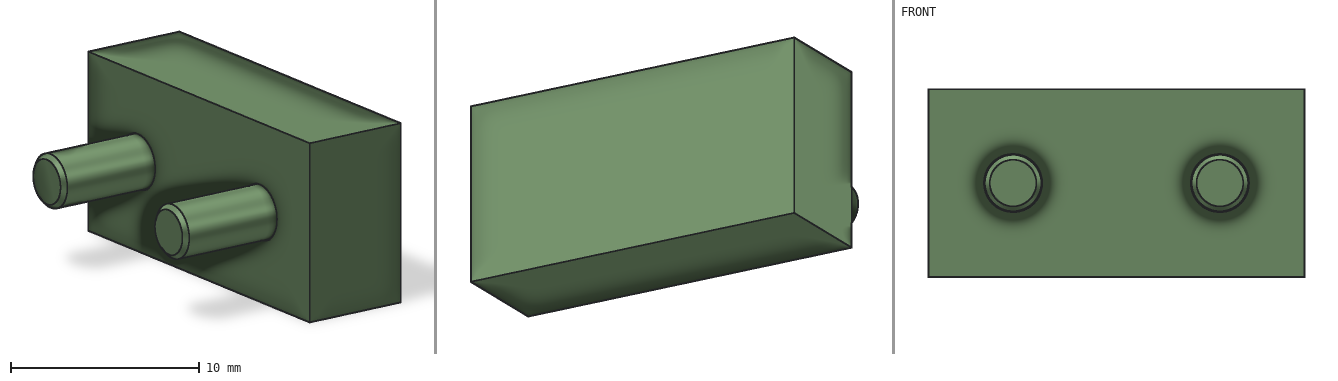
import cadquery as cq

block_width = 20.0
block_depth = 6.0
block_height = 10.0

pin_diameter = 3.0
hole_diameter = 3.1
pin_projection = 6.0
pin_chamfer = 0.25
pin_spacing = 11.0
pin_insertion = 3.0

pin_x_positions = [-pin_spacing / 2, pin_spacing / 2]


def make_pin(x):
    """Round pin along Y, chamfered at its free front end."""
    return (
        cq.Workplane("XZ", origin=(x, pin_insertion, 0))
        .circle(pin_diameter / 2)
        .extrude(pin_insertion + pin_projection)
        .faces("<Y")
        .chamfer(pin_chamfer)
    )


def make_block():
    """Plain rectangular block with one blind clearance hole for each pin."""
    block = cq.Workplane("XY").box(block_width, block_depth, block_height)
    block = block.translate((0, block_depth / 2, 0))
    for x in pin_x_positions:
        hole = (
            cq.Workplane("XZ", origin=(x, pin_insertion, 0))
            .circle(hole_diameter / 2)
            .extrude(pin_insertion)
        )
        block = block.cut(hole)
    return block


block = make_block()
pins = [make_pin(x) for x in pin_x_positions]

result = cq.Compound.makeCompound([block.val(), *[pin.val() for pin in pins]])